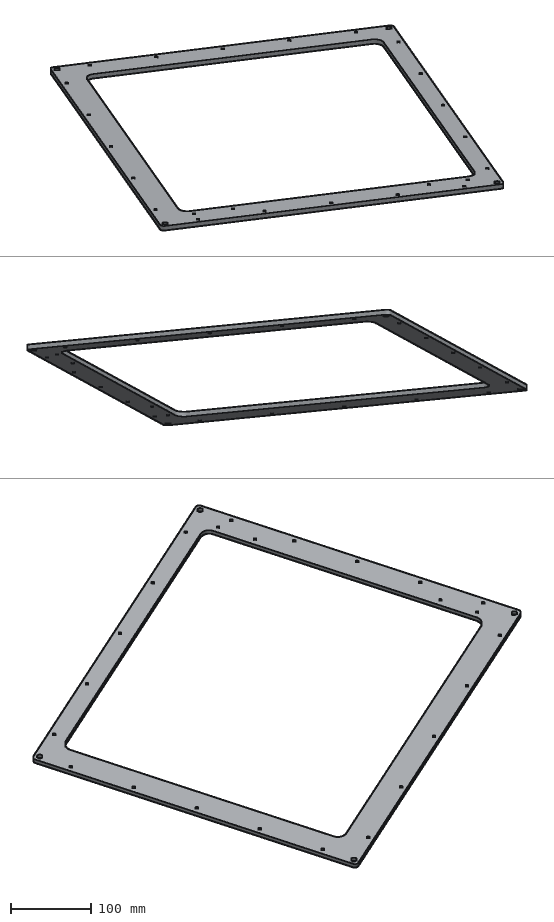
import cadquery as cq

length = 490.0
width = 445.0
thickness = 6.5
outer_corner_radius = 5.0

window_length = 422.5
window_width = 384.0
window_shift = 5.0
window_corner_radius = 12.0

edge_inset = 7.5
edge_x = length / 2 - edge_inset
edge_y = width / 2 - edge_inset
corner_hole_diameter = 7.0

edge_hole_diameter = 3.5
long_edge_pitch = 97.5
side_pitch = 86.0
pitch_steps = range(-2, 3)

rail_hole_diameter = 3.25
rail_hole_x = 220.0
rail_hole_offsets = (127.0, 177.5)


def rounded_block(size_x, size_y, radius):
    """Plate-thick block with rounded vertical edges, standing on Z = 0."""
    block = cq.Workplane("XY").box(size_x, size_y, thickness, centered=(True, True, False))
    return block.edges("|Z").fillet(radius)


def drill(body, points, diameter):
    """Cut through holes at the given XY points."""
    pins = cq.Workplane("XY").pushPoints(points).circle(diameter / 2).extrude(thickness)
    return body.cut(pins)


window = rounded_block(window_length, window_width, window_corner_radius)
frame = rounded_block(length, width, outer_corner_radius)
frame = frame.cut(window.translate((0, window_shift, 0)))

corner_points = [(sx * edge_x, sy * edge_y) for sx in (-1, 1) for sy in (-1, 1)]
long_edge_points = [(step * long_edge_pitch, side * edge_y) for side in (-1, 1) for step in pitch_steps]
side_points = [(side * edge_x, step * side_pitch) for side in (-1, 1) for step in pitch_steps]
rail_points = [
    (rail_hole_x, window_shift + side * offset)
    for side in (-1, 1)
    for offset in rail_hole_offsets
]

frame = drill(frame, corner_points, corner_hole_diameter)
frame = drill(frame, long_edge_points, edge_hole_diameter)
frame = drill(frame, side_points, edge_hole_diameter)
result = drill(frame, rail_points, rail_hole_diameter)